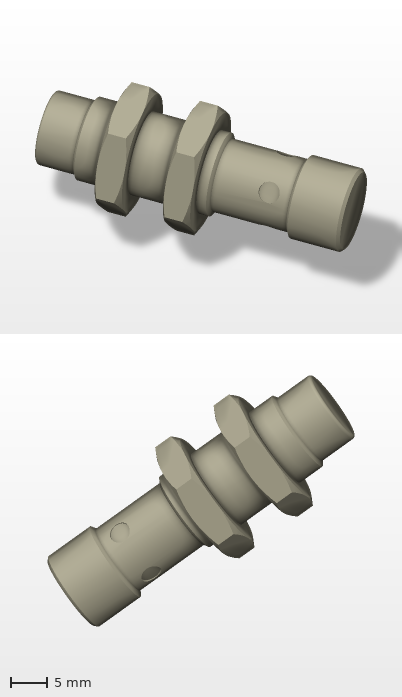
import cadquery as cq
import math

overall_length = 45.0
nose_diameter = 10.7
nose_rounding = 0.45
barrel_diameter = 12.0
barrel_start = 5.65
barrel_end = 25.9
step_cone_length = 0.45
neck_diameter = 10.55
head_start = 36.95
head_cone_length = 0.5
end_chamfer = 0.45

nut_across_flats = 17.0
nut_thickness = 4.0
nut_starts = (10.0, 20.02)
nut_chamfer_angle = 28.0

window_diameter = 3.0
window_position = 33.95
window_depth = 0.35
window_angles = (45, 135, 225, 315)


def make_body():
    """Revolved barrel whose steps down to the nose and neck are full cones."""
    nose_radius = nose_diameter / 2
    barrel_radius = barrel_diameter / 2
    neck_radius = neck_diameter / 2
    outline = [
        (0, 0),
        (0, nose_radius),
        (barrel_start, nose_radius),
        (barrel_start + step_cone_length, barrel_radius),
        (barrel_end - step_cone_length, barrel_radius),
        (barrel_end, neck_radius),
        (head_start, neck_radius),
        (head_start + head_cone_length, barrel_radius),
        (overall_length - end_chamfer, barrel_radius),
        (overall_length, barrel_radius - end_chamfer),
        (overall_length, 0),
    ]
    body = cq.Workplane("XY").polyline(outline).close().revolve(360, (0, 0, 0), (1, 0, 0))
    return body.faces("<X").edges().fillet(nose_rounding)


def make_nut(start):
    """Hexagon nut whose corners are trimmed by a cone at both ends."""
    corner_radius = nut_across_flats / math.sqrt(3)
    face_radius = nut_across_flats / 2
    cone_depth = (corner_radius - face_radius) * math.tan(math.radians(nut_chamfer_angle))
    end = start + nut_thickness
    hexagon = (
        cq.Workplane("YZ", origin=(start, 0, 0))
        .polygon(6, 2 * corner_radius)
        .extrude(nut_thickness)
    )
    trimming_outline = [
        (start, 0),
        (start, face_radius),
        (start + cone_depth, corner_radius),
        (end - cone_depth, corner_radius),
        (end, face_radius),
        (end, 0),
    ]
    trimming_cone = cq.Workplane("XY").polyline(trimming_outline).close().revolve(360, (0, 0, 0), (1, 0, 0))
    return hexagon.intersect(trimming_cone)


def make_window_cutter(angle):
    """Radial cylinder that reaches from the window floor to outside the neck."""
    floor_radius = neck_diameter / 2 - window_depth
    cutter = (
        cq.Workplane("XY", origin=(window_position, 0, floor_radius))
        .circle(window_diameter / 2)
        .extrude(2 * window_depth)
    )
    return cutter.rotate((0, 0, 0), (1, 0, 0), angle)


result = make_body()
for nut_start in nut_starts:
    result = result.union(make_nut(nut_start))
for window_angle in window_angles:
    result = result.cut(make_window_cutter(window_angle))